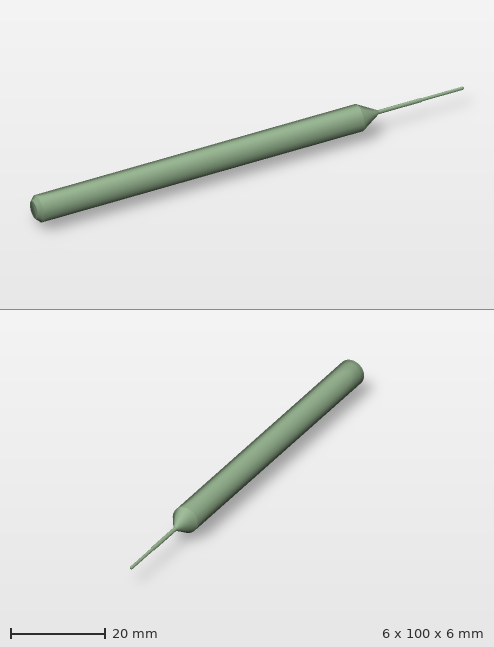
import cadquery as cq
import math

total_length = 100.0
shank_diameter = 6.0
ball_diameter = 0.7
neck_diameter = 0.9
cutting_length = 10.0
reach = 20.0
cone_half_angle = 30.0
end_chamfer = 1.0

shank_radius = shank_diameter / 2
ball_radius = ball_diameter / 2
neck_radius = neck_diameter / 2

shank_end_y = -total_length / 2
tip_y = total_length / 2
ball_center_y = tip_y - ball_radius
cutting_start_y = tip_y - cutting_length
cone_small_y = tip_y - reach
cone_length = (shank_radius - neck_radius) / math.tan(math.radians(cone_half_angle))
cone_large_y = cone_small_y - cone_length

ball_mid_offset = ball_radius * math.sqrt(0.5)
ball_mid_point = (ball_mid_offset, ball_center_y + ball_mid_offset)


def make_tool():
    """Revolve the half outline (radius, Y) about the Y axis."""
    outline = (
        cq.Workplane("XY")
        .moveTo(0, shank_end_y)
        .lineTo(shank_radius - end_chamfer, shank_end_y)
        .lineTo(shank_radius, shank_end_y + end_chamfer)
        .lineTo(shank_radius, cone_large_y)
        .lineTo(neck_radius, cone_small_y)
        .lineTo(neck_radius, cutting_start_y)
        .lineTo(ball_radius, cutting_start_y)
        .lineTo(ball_radius, ball_center_y)
        .threePointArc(ball_mid_point, (0, tip_y))
        .close()
    )
    return outline.revolve(360, (0, 0, 0), (0, 1, 0))


result = make_tool()